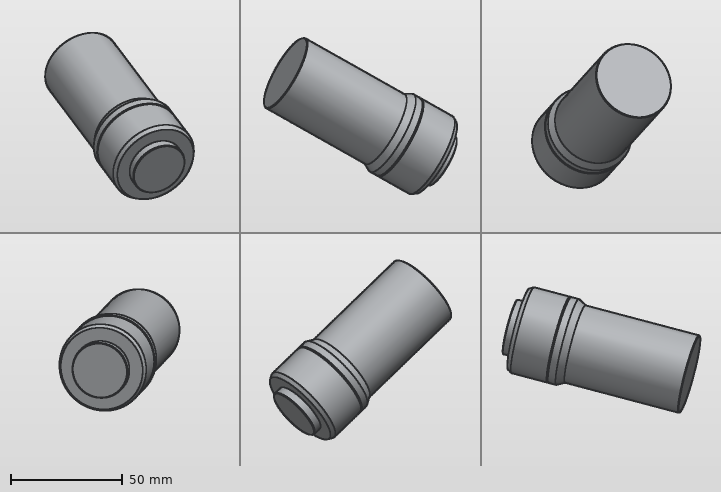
import cadquery as cq
import math

total_length = 83.9
barrel_radius = 18.0
collar_radius = 20.01
spigot_radius = 12.75

cone_start = 53.4
cone_end = 57.0
groove_start = 60.5
collar_end = 79.9

collar_chamfer_angle = math.radians(30)
groove_width = 0.7
groove_depth = 0.3
collar_chamfer_length = 2.0
edge_chamfer = 0.3

collar_chamfer_drop = collar_chamfer_length * math.tan(collar_chamfer_angle)


def make_body():
    """Revolve the barrel, flared collar and end spigot as one profile."""
    profile = (
        cq.Workplane("XZ")
        .lineTo(0, barrel_radius - edge_chamfer)
        .lineTo(edge_chamfer, barrel_radius)
        .lineTo(cone_start, barrel_radius)
        .lineTo(cone_end, collar_radius)
        .lineTo(collar_end - collar_chamfer_length, collar_radius)
        .lineTo(collar_end, collar_radius - collar_chamfer_drop)
        .lineTo(collar_end, spigot_radius)
        .lineTo(total_length - edge_chamfer, spigot_radius)
        .lineTo(total_length, spigot_radius - edge_chamfer)
        .lineTo(total_length, 0)
        .close()
    )
    return profile.revolve(360, (0, 0, 0), (1, 0, 0))


def make_groove_cutter():
    """Ring with a V section that cuts the groove around the collar."""
    profile = (
        cq.Workplane("XZ")
        .moveTo(groove_start, collar_radius)
        .lineTo(groove_start + groove_width / 2, collar_radius - groove_depth)
        .lineTo(groove_start + groove_width, collar_radius)
        .close()
    )
    return profile.revolve(360, (0, 0, 0), (1, 0, 0))


result = make_body().cut(make_groove_cutter())